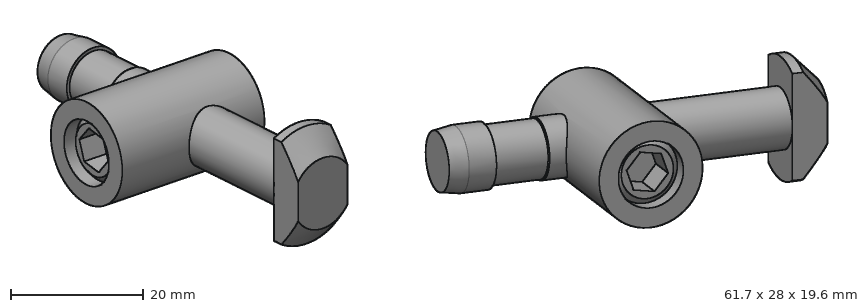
import cadquery as cq

total_length = 61.7
rod_radius = 4.9
tip_radius = 4.75
collar_radius = 5.25
neck_radius = 4.7
tip_taper_length = 3.0
collar_end = 7.5
neck_end = 16.35
neck_chamfer = rod_radius - neck_radius

head_radius = 9.8
head_thickness = 5.75
head_rim_thickness = 1.8
head_width = 2 * rod_radius
head_start = total_length - head_thickness
cone_start = head_start + head_rim_thickness
head_end_radius = head_radius - (total_length - cone_start)

barrel_radius = 8.45
barrel_length = 28.0
barrel_x = 27.5
barrel_back = 10.0
barrel_front = barrel_back - barrel_length

screw_radius = 5.3
screw_recess = 1.4
screw_chamfer = 1.05
screw_chamfer_angle = 45
socket_corner_radius = 3.45
socket_depth = 4.95
socket_angle = -10.5


def turned_bolt():
    """Revolve the tapered tip, collar, neck and rod around X."""
    return (
        cq.Workplane("XY")
        .moveTo(0, 0)
        .lineTo(0, tip_radius)
        .lineTo(tip_taper_length, collar_radius)
        .lineTo(collar_end, collar_radius)
        .lineTo(collar_end, neck_radius)
        .lineTo(neck_end - neck_chamfer, neck_radius)
        .lineTo(neck_end, rod_radius)
        .lineTo(head_start, rod_radius)
        .lineTo(head_start, 0)
        .close()
        .revolve(360, (0, 0, 0), (1, 0, 0))
    )


def bolt_head():
    """Revolve the coned disc, then keep only the strip between its flats."""
    disc = (
        cq.Workplane("XY")
        .moveTo(head_start, 0)
        .lineTo(head_start, head_radius)
        .lineTo(cone_start, head_radius)
        .lineTo(total_length, head_end_radius)
        .lineTo(total_length, 0)
        .close()
        .revolve(360, (0, 0, 0), (1, 0, 0))
    )
    strip = (
        cq.Workplane("YZ", origin=(head_start, 0, 0))
        .rect(head_width, 2 * head_radius)
        .extrude(head_thickness)
    )
    return disc.intersect(strip)


def barrel_plane(depth):
    """Plane facing -Y on the barrel axis, at a depth behind the front face."""
    return cq.Workplane("XZ", origin=(barrel_x, barrel_front + depth, 0))


def barrel():
    return barrel_plane(0).circle(barrel_radius).extrude(-barrel_length)


def screw_cavity():
    """Open space left by the sunken, chamfered screw and its hexagon socket."""
    hole_depth = screw_recess + screw_chamfer
    hole = barrel_plane(0).circle(screw_radius).extrude(-hole_depth)
    screw_end = (
        barrel_plane(hole_depth)
        .circle(screw_radius)
        .extrude(screw_chamfer, taper=screw_chamfer_angle)
    )
    socket = (
        barrel_plane(screw_recess)
        .transformed(rotate=(0, 0, socket_angle))
        .polygon(6, 2 * socket_corner_radius)
        .extrude(-socket_depth)
    )
    return hole.cut(screw_end).union(socket)


result = turned_bolt().union(bolt_head()).union(barrel()).cut(screw_cavity())